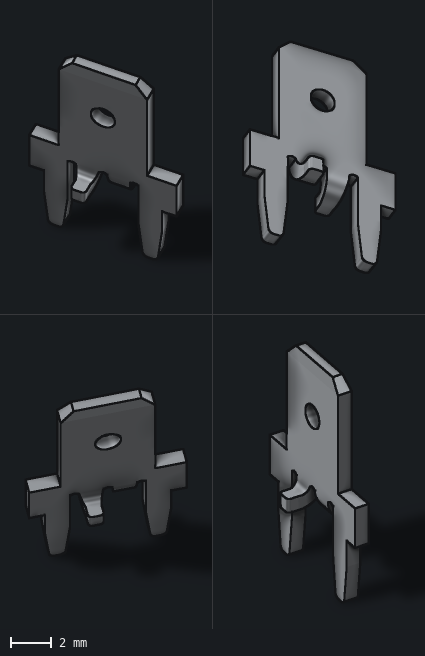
import cadquery as cq
import math

height = 12.45
width = 7.92
depth = 3.08
thickness = 0.8

blade_width = 4.75
tip_chamfer = 0.67
tip_thickness = 0.57
hole_diameter = 1.3
hole_height = 9.29

shoulder_top = 6.1
shoulder_bottom = 3.81

leg_pitch = 5.08
leg_width = 1.27
leg_taper_start = 2.27
leg_tip_width = 0.85
leg_tip_radius = 0.3

tongue_root_width = 1.25
tongue_tip_width = 0.8
tongue_corner_radius = 0.2
bend_radius = 0.5
relief_rise = 0.1

leg_inner_x = (leg_pitch - leg_width) / 2
relief_width = (2 * leg_inner_x - 2 * tongue_root_width) / 3
tongue_x = (relief_width + tongue_root_width) / 2
outer_bend_radius = bend_radius + thickness
bend_height = shoulder_bottom + outer_bend_radius
bend_y = thickness / 2 + bend_radius


def draw_leg(outline, center_x):
    """Continue the outline down the left flank of a leg, round its tip corners and up to the taper start."""
    tip_x = leg_tip_width / 2
    flat_x = tip_x - leg_tip_radius
    arc_x = flat_x + leg_tip_radius * math.sqrt(0.5)
    arc_z = leg_tip_radius * (1 - math.sqrt(0.5))
    return (
        outline.lineTo(center_x - leg_width / 2, leg_taper_start)
        .lineTo(center_x - tip_x, leg_tip_radius)
        .threePointArc((center_x - arc_x, arc_z), (center_x - flat_x, 0))
        .lineTo(center_x + flat_x, 0)
        .threePointArc((center_x + arc_x, arc_z), (center_x + tip_x, leg_tip_radius))
        .lineTo(center_x + leg_width / 2, leg_taper_start)
    )


def draw_relief(outline, center_x):
    """Continue the outline with the arched top of one relief gap, from left to right."""
    top = (center_x, bend_height + relief_rise)
    return outline.threePointArc(top, (center_x + relief_width / 2, bend_height))


def make_plate():
    """Flat sheet: blade, shoulders and legs."""
    blade_x = blade_width / 2
    shoulder_x = width / 2
    leg_outer_x = (leg_pitch + leg_width) / 2
    outline = (
        cq.Workplane("XZ")
        .moveTo(blade_x - tip_chamfer, height)
        .lineTo(tip_chamfer - blade_x, height)
        .lineTo(-blade_x, height - tip_chamfer)
        .lineTo(-blade_x, shoulder_top)
        .lineTo(-shoulder_x, shoulder_top)
        .lineTo(-shoulder_x, shoulder_bottom)
        .lineTo(-leg_outer_x, shoulder_bottom)
    )
    outline = draw_leg(outline, -leg_pitch / 2).lineTo(-leg_inner_x, bend_height)
    relief_pitch = relief_width + tongue_root_width
    outline = draw_relief(outline, -relief_pitch)
    for relief_x in (0, relief_pitch):
        outline = outline.lineTo(relief_x - relief_width / 2, bend_height)
        outline = draw_relief(outline, relief_x)
    outline = (
        draw_leg(outline, leg_pitch / 2)
        .lineTo(leg_outer_x, shoulder_bottom)
        .lineTo(shoulder_x, shoulder_bottom)
        .lineTo(shoulder_x, shoulder_top)
        .lineTo(blade_x, shoulder_top)
        .lineTo(blade_x, height - tip_chamfer)
        .close()
    )
    return outline.extrude(thickness / 2, both=True)


def make_tip_bevel(side):
    """Wedge that thins the blade tip on the +Y or -Y face."""
    return (
        cq.Workplane("YZ")
        .moveTo(side * thickness / 2, height - tip_chamfer)
        .lineTo(side * thickness / 2, height)
        .lineTo(side * tip_thickness / 2, height)
        .close()
        .extrude(blade_width / 2, both=True)
    )


def bend_edge(radius, side):
    """Side edge of the bend at a given radius; its half width shrinks evenly with the bend angle."""
    steps = 12
    points = []
    for step in range(steps + 1):
        fraction = step / steps
        angle = fraction * math.pi / 2
        full_width = tongue_root_width + (tongue_tip_width - tongue_root_width) * fraction
        x = side * full_width / 2
        y = radius * math.cos(angle) - bend_y
        z = bend_height - radius * math.sin(angle)
        points.append(cq.Vector(x, y, z))
    return cq.Edge.makeSpline(points)


def make_tongue():
    """Tongue centred on X = 0, bent a quarter turn toward -Y."""
    inner_left = bend_edge(bend_radius, -1)
    inner_right = bend_edge(bend_radius, 1)
    outer_left = bend_edge(outer_bend_radius, -1)
    outer_right = bend_edge(outer_bend_radius, 1)
    loop = [inner_left, inner_right, outer_right, outer_left]
    faces = [cq.Face.makeRuledSurface(a, b) for a, b in zip(loop, loop[1:] + loop[:1])]
    for end in (0, 1):
        corners = [edge.positionAt(end) for edge in loop]
        faces.append(cq.Face.makeFromWires(cq.Wire.makePolygon(corners, close=True)))
    bend = cq.Solid.makeSolid(cq.Shell.makeShell(faces)).fix()

    tab_length = depth / 2 - bend_y
    tab = (
        cq.Workplane("XY")
        .box(tongue_tip_width, tab_length, thickness, centered=(True, False, False))
        .translate((0, -depth / 2, shoulder_bottom))
        .edges("|Z and <Y")
        .fillet(tongue_corner_radius)
    )
    return tab.union(cq.Workplane(bend))


plate = make_plate()
for side in (-1, 1):
    plate = plate.cut(make_tip_bevel(side))

hole = cq.Workplane("XZ").center(0, hole_height).circle(hole_diameter / 2).extrude(thickness, both=True)
plate = plate.cut(hole)

tongue = make_tongue().translate((-tongue_x, 0, 0))
opposite_tongue = tongue.rotate((0, 0, 0), (0, 0, 1), 180)
result = plate.union(tongue).union(opposite_tongue)